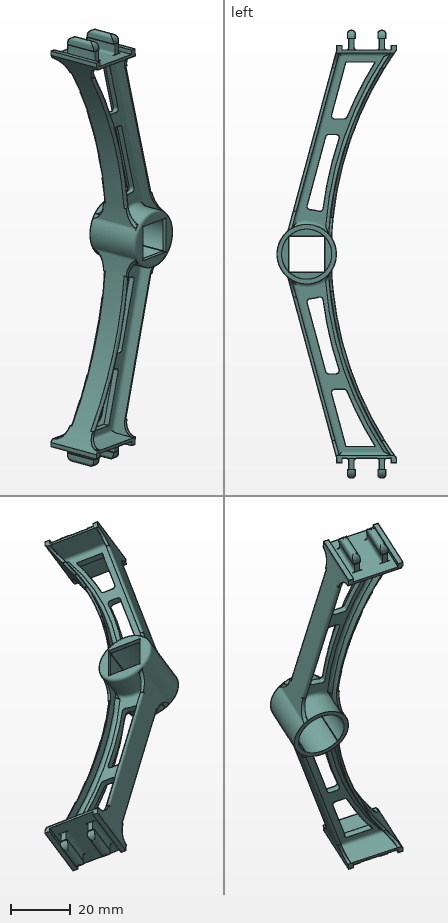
import cadquery as cq
import math

width = 20.0
half_width = width / 2
hub_radius = width / 2
bore_radius = 8.4
hub_end_wall = 1.5
hub_end_round = 1.0
hub_arm_fillet = 1.0
square_hole = 12.0

overall_height = 150.0
arm_width = 10.0
half_arm = arm_width / 2
arm_edge_round = 0.9
back_at_axis = 8.4
back_angle = math.radians(15.1)
front_radius = 117.9
front_center_y = -126.2

flange = 1.0
web_thickness = 2.1
pocket_round = 1.2
back_frame = 4.0
front_frame = 3.8
window_round = 1.0
lower_window_radius = 15.0
lower_window_top = 40.0
upper_window_bottom = 45.3
upper_window_top = 64.4

plate_bottom = 67.4
plate_top = 68.4
lip_top = 69.9
lip_width = 1.8

tab_spacing = 10.2
stem_length = 12.2
stem_thickness = 1.8
stem_foot = 0.9
head_bottom = 72.2
head_length = 11.5
head_thickness = 2.7
head_end_round = 2.4
head_side_round = 1.2

flare_radius = half_width - half_arm
arc_mid = flare_radius * (1 - math.sqrt(0.5))


def back_y(z, inset=0.0):
    """Y of the arm's back edge, moved inward by inset."""
    return back_at_axis - z * math.tan(back_angle) - inset / math.cos(back_angle)


def front_y(z, inset=0.0):
    """Y of the arm's front edge, moved inward by inset."""
    return front_center_y + math.sqrt((front_radius + inset) ** 2 - z**2)


def arm_slice(z_low, z_high, half_depth, back_inset=0.0, front_inset=0.0):
    """Arm outline between two heights, extruded to both sides of the YZ plane."""
    return (
        cq.Workplane("YZ")
        .moveTo(back_y(z_low, back_inset), z_low)
        .lineTo(back_y(z_high, back_inset), z_high)
        .lineTo(front_y(z_high, front_inset), z_high)
        .threePointArc(
            (front_y((z_low + z_high) / 2, front_inset), (z_low + z_high) / 2),
            (front_y(z_low, front_inset), z_low),
        )
        .close()
        .extrude(half_depth, both=True)
    )


def x_cylinder(radius):
    """Cylinder about the hub axis, as long as the part is wide."""
    return cq.Workplane("YZ").circle(radius).extrude(half_width, both=True)


def pocket():
    """Recess in the +X side of the arm, rounded where it meets the web."""
    blank = arm_slice(0, plate_bottom, half_width, flange, flange)
    web_face = cq.Workplane("YZ", origin=(web_thickness / 2, 0, 0))
    above_web = web_face.rect(overall_height, overall_height).extrude(half_width - web_thickness / 2)
    recess = blank.intersect(above_web).cut(x_cylinder(hub_radius))
    return recess.faces("<X").edges().fillet(pocket_round)


def lower_window():
    """Window nearest the hub, its lower end concentric with the hub."""
    window = arm_slice(0, lower_window_top, half_arm, back_frame, front_frame)
    window = window.cut(x_cylinder(lower_window_radius))
    return window.edges("|X").fillet(window_round)


def upper_window():
    """Window nearest the plate, rounded at its lower corners."""
    window = arm_slice(upper_window_bottom, upper_window_top, half_arm, back_frame, front_frame)
    return window.faces("<Z").edges("|X").fillet(window_round)


def hub_flare():
    """Body of revolution bounding the flanges near the hub, clear of the rounded hub end."""
    flare = (
        cq.Workplane("XY")
        .moveTo(-half_width, bore_radius)
        .lineTo(half_width, bore_radius)
        .lineTo(half_width, hub_radius)
        .threePointArc(
            (half_arm + arc_mid, hub_radius + arc_mid),
            (half_arm, hub_radius + flare_radius),
        )
        .lineTo(-half_arm, hub_radius + flare_radius)
        .threePointArc(
            (-half_arm - arc_mid, hub_radius + arc_mid),
            (-half_width, hub_radius),
        )
        .close()
        .revolve(360, (0, 0, 0), (1, 0, 0))
    )
    rounded_end = cq.Workplane("YZ", origin=(half_width - hub_end_round, 0, 0))
    return flare.cut(rounded_end.circle(hub_radius + flare_radius).extrude(hub_end_round))


def plate_flare():
    """Prism along Y bounding the flanges near the plate."""
    flare_start = plate_bottom - flare_radius
    return (
        cq.Workplane("XZ")
        .moveTo(-half_width, plate_bottom)
        .lineTo(half_width, plate_bottom)
        .threePointArc((half_arm + arc_mid, plate_bottom - arc_mid), (half_arm, flare_start))
        .lineTo(-half_arm, flare_start)
        .threePointArc((-half_arm - arc_mid, plate_bottom - arc_mid), (-half_width, plate_bottom))
        .close()
        .extrude(overall_height, both=True)
    )


def flares():
    """Flanges widened toward the hub and the plate, blended into the hub surface."""
    flanges = arm_slice(0, plate_bottom, half_width).union(x_cylinder(hub_radius))
    hub_top_half = cq.selectors.BoxSelector(
        (-half_width, -hub_radius, hub_arm_fillet),
        (half_width, hub_radius, hub_radius),
    )
    flanges = flanges.edges("|X").edges(hub_top_half).fillet(hub_arm_fillet)
    flanges = flanges.cut(arm_slice(0, plate_bottom, half_width, flange, flange))
    return flanges.intersect(hub_flare()).union(flanges.intersect(plate_flare()))


def arm():
    """Upper arm from the hub axis to the plate."""
    beam = arm_slice(0, plate_bottom, half_arm)
    beam = beam.edges("(>X or <X) and (not |Y)").fillet(arm_edge_round)
    side_pocket = pocket()
    beam = beam.cut(side_pocket).cut(side_pocket.mirror("YZ"))
    beam = beam.union(flares())
    return beam.cut(lower_window()).cut(upper_window())


def block(length, y_min, y_max, z_min, z_max):
    """Box centered in X, given by its Y and Z limits."""
    size = (length, y_max - y_min, z_max - z_min)
    return cq.Workplane("XY").box(*size).translate((0, (y_min + y_max) / 2, (z_min + z_max) / 2))


def snap_tab(y):
    """Stem with a flared foot and a rounded head."""
    top = overall_height / 2
    half_stem = stem_thickness / 2
    stem = block(stem_length, y - half_stem, y + half_stem, plate_top, head_bottom)
    foot = block(stem_length, y - half_stem - stem_foot, y + half_stem + stem_foot,
                 plate_top, plate_top + stem_foot)
    groove = x_cylinder(stem_foot)
    for side in (-1, 1):
        foot = foot.cut(groove.translate((0, y + side * (half_stem + stem_foot), plate_top + stem_foot)))
    head = block(head_length, y - head_thickness / 2, y + head_thickness / 2, head_bottom, top)
    round_ends = head.edges("|Y and >Z").fillet(head_end_round)
    round_sides = head.edges("|X and >Z").fillet(head_side_round)
    return stem.union(foot).union(round_ends.intersect(round_sides))


def end_plate():
    """Plate across the end of the arm, with its lips and snap tabs."""
    plate = arm_slice(plate_bottom, plate_top, half_width)
    y_back = back_y(plate_top)
    y_front = front_y(plate_top)
    plate = plate.union(block(width, y_back - lip_width, y_back, plate_top, lip_top))
    plate = plate.union(block(width, y_front, y_front + lip_width, plate_top, lip_top))
    y_middle = (y_front + y_back) / 2
    for side in (-1, 1):
        plate = plate.union(snap_tab(y_middle + side * tab_spacing / 2))
    return plate


upper_half = arm().union(end_plate())
hub = x_cylinder(hub_radius).faces(">X").edges().fillet(hub_end_round)
bore = x_cylinder(bore_radius).translate((-hub_end_wall, 0, 0))
socket = cq.Workplane("YZ").rect(square_hole, square_hole).extrude(half_width, both=True)

result = hub.union(upper_half).union(upper_half.mirror("XY")).cut(bore).cut(socket)